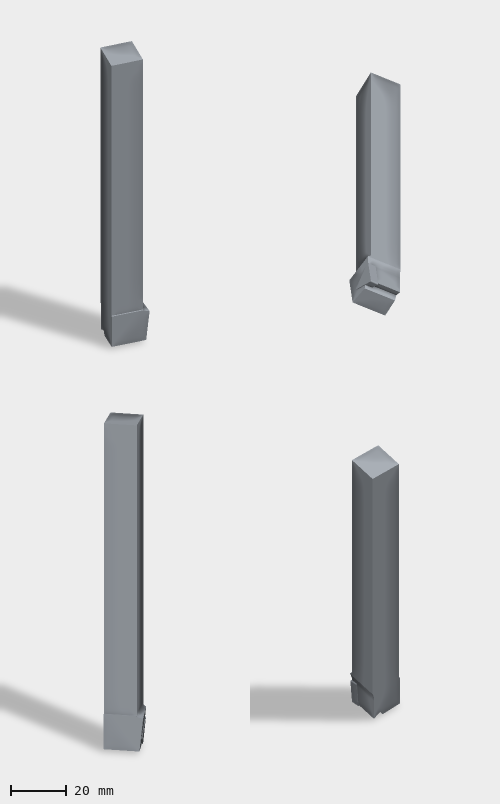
import math

import cadquery as cq


shank_side = 12.0
total_length = 125.0

head_width = 12.5
head_step_z = 14.6
total_depth = 14.4
ledge_rim_z = 13.8
ledge_angle = 16.0
ledge_fillet = 1.5
bottom_left_z = 0.8
bottom_right_z = 1.2

rake_angle = 6.0
approach_tilt = 1.0

inscribed_diameter = 6.4
insert_thickness = 3.1
nose_radius = 0.4
insert_proud = 0.31
insert_center_x = 3.2
insert_center_z = 5.19

relief_depth = 0.8
relief_low_z = 10.1
relief_high_z = 13.9

corner_relief_x = 3.5
corner_relief_z = 2.6
corner_relief_slope = 30.0

margin = 1.2

rake_slope = math.tan(math.radians(rake_angle))
rake_normal = cq.Vector(-rake_slope, 1, -rake_slope).normalized()


def rake_point(x, z):
    """Point of the head's rake face, which meets the ledge rim at the +X side."""
    y = total_depth + rake_slope * ((x - head_width) + (z - ledge_rim_z))
    return cq.Vector(x, y, z)


def rake_plane(origin):
    """Workplane parallel to the rake face, looking out of the face."""
    return cq.Plane(origin=origin, xDir=(1, rake_slope, 0), normal=rake_normal)


def make_insert():
    """Triangle with rounded corners, standing a little above the rake face."""
    center = rake_point(insert_center_x, insert_center_z) + rake_normal * insert_proud
    return (
        cq.Workplane(rake_plane(center).rotated((0, 0, approach_tilt)))
        .polygon(3, 2 * inscribed_diameter)
        .extrude(-insert_thickness)
        .edges(cq.ParallelDirSelector(rake_normal))
        .fillet(nose_radius)
    )


def make_shank():
    return cq.Workplane("XY").box(shank_side, shank_side, total_length, centered=False)


def make_head():
    """Head block whose top, outside the shank, is the sloping ledge."""
    ledge_rise = (total_depth - shank_side) * math.tan(math.radians(ledge_angle))
    block = cq.Workplane("XY").box(head_width, shank_side, head_step_z, centered=False)
    ledge = (
        cq.Workplane("YZ")
        .moveTo(shank_side, 0)
        .lineTo(total_depth, 0)
        .lineTo(total_depth, ledge_rim_z)
        .lineTo(shank_side, ledge_rim_z + ledge_rise)
        .close()
        .extrude(head_width)
    )
    return block.union(ledge)


def make_ledge_fillet():
    """Web that rounds the inner corner between ledge and shank, as wide as the shank."""
    end_angle = math.radians(ledge_angle)
    middle_angle = (math.pi / 2 + end_angle) / 2
    center_y = shank_side + ledge_fillet
    end_y = center_y - ledge_fillet * math.sin(end_angle)
    end_z = ledge_rim_z + (total_depth - end_y) * math.tan(end_angle)
    center_z = end_z + ledge_fillet * math.cos(end_angle)
    middle_y = center_y - ledge_fillet * math.sin(middle_angle)
    middle_z = center_z - ledge_fillet * math.cos(middle_angle)
    return (
        cq.Workplane("YZ")
        .moveTo(shank_side, 0)
        .lineTo(end_y, 0)
        .lineTo(end_y, end_z)
        .threePointArc((middle_y, middle_z), (shank_side, center_z))
        .close()
        .extrude(shank_side)
    )


def make_rake_cutter():
    """Slab that removes everything above the rake face."""
    slab_side = 4 * head_width
    return cq.Workplane(rake_plane(rake_point(0, 0))).rect(slab_side, slab_side).extrude(head_width)


def make_side_relief_cutter():
    """Flank parallel to the cutting edge, blended into the -X side by an arc."""
    rise = relief_high_z - relief_low_z
    arc_radius = (rise**2 + relief_depth**2) / (2 * relief_depth)
    half_angle = math.asin(rise / arc_radius) / 2
    middle_x = relief_depth - arc_radius * (1 - math.cos(half_angle))
    middle_z = relief_low_z + arc_radius * math.sin(half_angle)
    bottom_x = relief_depth - relief_low_z * math.tan(math.radians(approach_tilt))
    return (
        cq.Workplane("XZ")
        .moveTo(0, relief_high_z)
        .threePointArc((middle_x, middle_z), (relief_depth, relief_low_z))
        .lineTo(bottom_x, 0)
        .lineTo(-margin, 0)
        .lineTo(-margin, relief_high_z)
        .close()
        .extrude(-(total_depth + margin))
    )


def make_bottom_cutter():
    """Lower end of the head: the corner relief, its wall and the gently rising bottom."""
    slope = math.tan(math.radians(corner_relief_slope))
    wall_foot_x = corner_relief_x + (corner_relief_z - bottom_left_z) * slope
    return (
        cq.Workplane("XZ")
        .moveTo(0, corner_relief_z - corner_relief_x * slope)
        .lineTo(corner_relief_x, corner_relief_z)
        .lineTo(wall_foot_x, bottom_left_z)
        .lineTo(head_width, bottom_right_z)
        .lineTo(head_width, -margin)
        .lineTo(0, -margin)
        .close()
        .extrude(-(total_depth + margin))
    )


def make_holder(seated_insert):
    """Shank and head in one piece, with a pocket that fits the insert."""
    body = make_shank().union(make_head()).union(make_ledge_fillet())
    body = body.cut(make_rake_cutter())
    body = body.cut(make_side_relief_cutter())
    body = body.cut(make_bottom_cutter())
    return body.cut(seated_insert)


insert = make_insert()
holder = make_holder(insert)

result = cq.Compound.makeCompound([*holder.solids().vals(), *insert.solids().vals()])